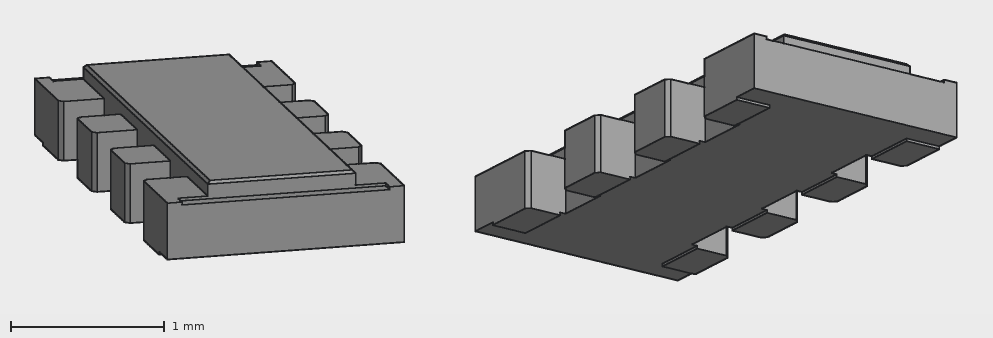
import cadquery as cq

length = 3.2
width = 1.6
body_top = 0.4
standoff = 0.02

core_width = 1.0
end_block_length = 0.2

ledge_size = 0.1
ledge_depth = 0.02

cover_thickness = 0.1
cover_length = length - 2 * ledge_size
cover_chamfer = 0.02

terminal_count = 4
terminal_width = 0.4
terminal_pitch = 0.8
terminal_chamfer = 0.03
foot_length = 0.26


def block(size_x, size_y, bottom, top, center=(0, 0)):
    """Upright box between two heights, centred on a point in plan."""
    return (
        cq.Workplane("XY", origin=(center[0], center[1], bottom))
        .rect(size_x, size_y)
        .extrude(top - bottom)
    )


def make_body():
    """Central core with a full-width block at each end."""
    body = block(length, core_width, standoff, body_top)
    end_center = (length - end_block_length) / 2
    for side in (-1, 1):
        body = body.union(block(end_block_length, width, standoff, body_top, (side * end_center, 0)))
    return body


def make_terminal_row():
    """Terminals crossing the full width, each standing on a foot at either side."""
    feet_gap = width - 2 * foot_length
    row_center = (terminal_count - 1) / 2
    row = cq.Workplane("XY")
    for index in range(terminal_count):
        x = (index - row_center) * terminal_pitch
        terminal = block(terminal_width, width, 0, body_top, (x, 0))
        edges = "|Z"
        if index == 0:
            edges = "|Z and >X"
        elif index == terminal_count - 1:
            edges = "|Z and <X"
        terminal = terminal.edges(edges).chamfer(terminal_chamfer)
        row = row.union(terminal.cut(block(terminal_width, feet_gap, 0, standoff, (x, 0))))
    return row


def make_ledges():
    """Material removed from the top of both ends."""
    ledge_center = (length - ledge_size) / 2
    ledge_width = width - 2 * ledge_size
    ledges = cq.Workplane("XY")
    for side in (-1, 1):
        ledges = ledges.union(
            block(ledge_size, ledge_width, body_top - ledge_depth, body_top, (side * ledge_center, 0))
        )
    return ledges


def make_cover():
    """Flat plate on top of the core with its upper rim bevelled."""
    cover = block(cover_length, core_width, body_top, body_top + cover_thickness)
    return cover.faces(">Z").chamfer(cover_chamfer)


result = make_body().union(make_terminal_row()).cut(make_ledges()).union(make_cover())